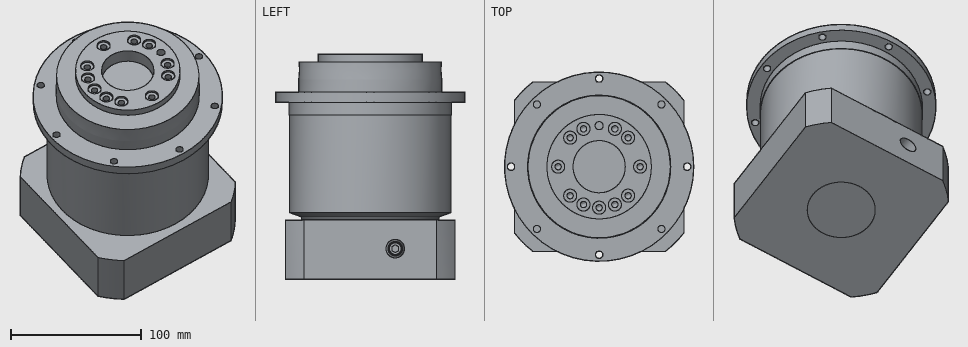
import cadquery as cq
import math

adapter_width = 130.0
adapter_height = 45.4
adapter_corner_radius = 82.5

neck_radius = 52.8
neck_chamfer = 0.9
neck_top_z = 47.8
body_radius = 62.0
body_bottom_z = 51.0
body_top_z = 125.8
collar_radius = 62.3
flange_diameter = 145.0
flange_radius = flange_diameter / 2
flange_bottom_z = 135.5
flange_top_z = 143.3
pilot_radius = 54.9
pilot_taper_z = 153.0
pilot_top_radius = 54.5
pilot_top_z = 166.5
output_radius = 40.0
output_top_z = 172.5

center_bore_radius = 20.0
center_bore_depth = 12.0
flange_hole_count = 8
flange_hole_radius = 2.8
flange_hole_circle_radius = 67.5
output_hole_circle_radius = 31.4
dowel_hole_angle = 90
dowel_hole_radius = 3.1
dowel_hole_depth = 10.0
screw_hole_angles = [0, 45, 67.5, 112.5, 135, 180, 225, 247.5, 270, 292.5, 315]
screw_hole_radius = 2.5
screw_hole_depth = 13.8
drill_tip_angle = 118
recess_radius = 5.0
recess_depth = 1.7

hub_radius = 26.0
screw_y = -19.1
screw_z = 23.5
access_hole_radius = 7.0
screw_radius = 5.0
screw_chamfer = 0.5
screw_length = 6.0
screw_front_x = -14.8
screw_recess_radius = 5.5
hex_across_flats = 5.2
hex_depth = 3.0


def rod_along_x(radius, start_x, end_x):
    """Cylinder on the clamp screw's axis, between two X positions."""
    return (
        cq.Workplane("YZ", origin=(start_x, screw_y, screw_z))
        .circle(radius)
        .extrude(end_x - start_x)
    )


def make_adapter():
    block = cq.Workplane("XY").rect(adapter_width, adapter_width).extrude(adapter_height)
    corner_limit = cq.Workplane("XY").circle(adapter_corner_radius).extrude(adapter_height)
    hub_bore = cq.Workplane("XY").circle(hub_radius).extrude(adapter_height)
    access_hole = rod_along_x(access_hole_radius, -adapter_width / 2, 0)
    return block.intersect(corner_limit).cut(hub_bore).cut(access_hole)


def drilled_hole(x, y):
    """Recessed hole in the output face, ending in a drill point."""
    tip_depth = screw_hole_radius / math.tan(math.radians(drill_tip_angle / 2))
    outline = [
        (0, 0),
        (recess_radius, 0),
        (recess_radius, -recess_depth),
        (screw_hole_radius, -recess_depth),
        (screw_hole_radius, -screw_hole_depth),
        (0, -screw_hole_depth - tip_depth),
    ]
    return (
        cq.Workplane("XZ")
        .polyline(outline)
        .close()
        .revolve(360, (0, 0), (0, 1))
        .translate((x, y, output_top_z))
    )


def point_on_output_circle(angle):
    radians = math.radians(angle)
    return output_hole_circle_radius * math.cos(radians), output_hole_circle_radius * math.sin(radians)


def make_gearbox():
    profile = [
        (0, adapter_height),
        (neck_radius - neck_chamfer, adapter_height),
        (neck_radius, adapter_height + neck_chamfer),
        (neck_radius, neck_top_z),
        (body_radius, body_bottom_z),
        (body_radius, body_top_z),
        (collar_radius, body_top_z),
        (collar_radius, flange_bottom_z),
        (flange_radius, flange_bottom_z),
        (flange_radius, flange_top_z),
        (pilot_radius, flange_top_z),
        (pilot_radius, pilot_taper_z),
        (pilot_top_radius, pilot_top_z),
        (output_radius, pilot_top_z),
        (output_radius, output_top_z),
        (0, output_top_z),
    ]
    gearbox = cq.Workplane("XZ").polyline(profile).close().revolve(360, (0, 0), (0, 1))

    flange_holes = (
        cq.Workplane("XY", origin=(0, 0, flange_bottom_z))
        .polarArray(flange_hole_circle_radius, 0, 360, flange_hole_count)
        .circle(flange_hole_radius)
        .extrude(flange_top_z - flange_bottom_z)
    )
    output_face = cq.Workplane("XY", origin=(0, 0, output_top_z))
    center_bore = output_face.circle(center_bore_radius).extrude(-center_bore_depth)
    dowel_hole = (
        output_face.center(*point_on_output_circle(dowel_hole_angle))
        .circle(dowel_hole_radius)
        .extrude(-dowel_hole_depth)
    )
    gearbox = gearbox.cut(flange_holes).cut(center_bore).cut(dowel_hole)

    for angle in screw_hole_angles:
        gearbox = gearbox.cut(drilled_hole(*point_on_output_circle(angle)))
    return gearbox


def make_clamp_hub():
    hub = cq.Workplane("XY").circle(hub_radius).extrude(adapter_height)
    screw_recess = rod_along_x(screw_recess_radius, -hub_radius, screw_front_x + screw_length)
    return hub.cut(screw_recess)


def make_clamp_screw():
    screw = rod_along_x(screw_radius, screw_front_x, screw_front_x + screw_length)
    screw = screw.faces("<X").chamfer(screw_chamfer)
    hex_across_corners = hex_across_flats / math.cos(math.radians(30))
    hex_socket = (
        cq.Workplane("YZ", origin=(screw_front_x, screw_y, screw_z))
        .transformed(rotate=(0, 0, 90))
        .polygon(6, hex_across_corners)
        .extrude(hex_depth)
    )
    return screw.cut(hex_socket)


adapter = make_adapter()
gearbox = make_gearbox()
clamp_hub = make_clamp_hub()
clamp_screw = make_clamp_screw()

result = cq.Compound.makeCompound([
    adapter.solids().val(),
    gearbox.solids().val(),
    clamp_hub.solids().val(),
    clamp_screw.solids().val(),
])